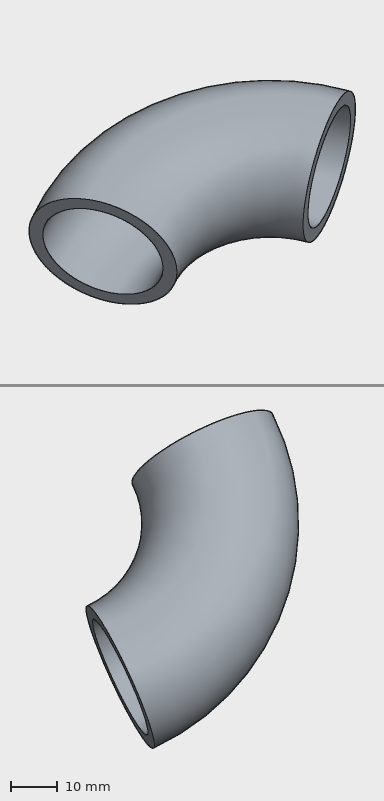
import cadquery as cq

outer_side = 54.85
pipe_diameter = 33.7
wall_thickness = 3.2
bend_angle = 90.0

outer_radius = pipe_diameter / 2
bore_radius = outer_radius - wall_thickness
bend_radius = outer_side - outer_radius

pipe_section = cq.Workplane("XZ").circle(outer_radius).circle(bore_radius)
bend_axis_start = (bend_radius, 0)
bend_axis_end = (bend_radius, -1)

result = pipe_section.revolve(bend_angle, bend_axis_start, bend_axis_end)